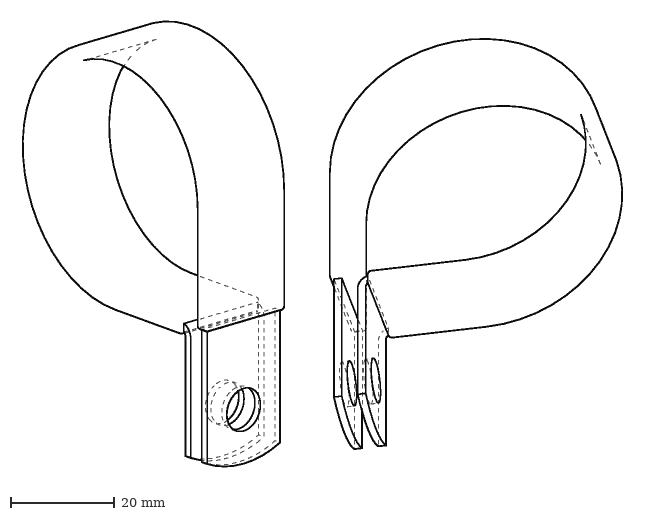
import cadquery as cq
import math

strap_thickness = 1.57
strap_width = 19.05

cushion_wall = 0.79375
loop_inner_radius = 23.8125
cushion_thickness = strap_thickness + 2 * cushion_wall
cushion_width = strap_width + 2 * cushion_wall
loop_outer_radius = loop_inner_radius + cushion_thickness
edge_fillet = cushion_wall

strap_inner_radius = loop_inner_radius + cushion_wall
strap_outer_radius = strap_inner_radius + strap_thickness

tab_gap = 3.175
tab_bottom_z = -53.99
tab_end_radius = 22.225
hole_diameter = 8.73125
hole_edge_distance = 11.1125
hole_z = tab_bottom_z + hole_edge_distance

bend_inner_radius = 1.190625
bend_outer_radius = bend_inner_radius + strap_thickness
inner_tab_outer_x = strap_inner_radius - tab_gap
inner_tab_inner_x = inner_tab_outer_x - strap_thickness
bend_center_x = inner_tab_outer_x - bend_outer_radius
bend_center_z = -strap_inner_radius - bend_outer_radius

cushion_run_end_x = bend_center_x + cushion_wall
cushion_leg_end_z = -strap_inner_radius


def make_cushion():
    """Three-quarter loop with a straight lower run and a straight vertical leg."""
    outer_arc_mid = loop_outer_radius * math.sqrt(0.5)
    inner_arc_mid = loop_inner_radius * math.sqrt(0.5)
    outline = (
        cq.Workplane("XZ")
        .moveTo(cushion_run_end_x, -loop_outer_radius)
        .lineTo(0, -loop_outer_radius)
        .threePointArc((-outer_arc_mid, outer_arc_mid), (loop_outer_radius, 0))
        .lineTo(loop_outer_radius, cushion_leg_end_z)
        .lineTo(loop_inner_radius, cushion_leg_end_z)
        .lineTo(loop_inner_radius, 0)
        .threePointArc((-inner_arc_mid, inner_arc_mid), (0, -loop_inner_radius))
        .lineTo(cushion_run_end_x, -loop_inner_radius)
        .close()
    )
    return outline.extrude(cushion_width / 2, both=True).edges().fillet(edge_fillet)


def make_inner_strap():
    """Strap that bends down out of the lower run and continues as the inner tab."""
    outer_bend_mid = bend_outer_radius * math.sqrt(0.5)
    inner_bend_mid = bend_inner_radius * math.sqrt(0.5)
    profile = (
        cq.Workplane("XZ", origin=(0, strap_width / 2, 0))
        .moveTo(bend_center_x, bend_center_z + bend_outer_radius)
        .threePointArc(
            (bend_center_x + outer_bend_mid, bend_center_z + outer_bend_mid),
            (inner_tab_outer_x, bend_center_z),
        )
        .lineTo(inner_tab_outer_x, tab_bottom_z)
        .lineTo(inner_tab_inner_x, tab_bottom_z)
        .lineTo(inner_tab_inner_x, bend_center_z)
        .threePointArc(
            (bend_center_x + inner_bend_mid, bend_center_z + inner_bend_mid),
            (bend_center_x, bend_center_z + bend_inner_radius),
        )
        .close()
    )
    return profile.extrude(strap_width)


def make_outer_strap():
    """Straight strap that continues below the vertical leg as the outer tab."""
    profile = (
        cq.Workplane("XZ", origin=(0, strap_width / 2, 0))
        .moveTo(strap_inner_radius, cushion_leg_end_z)
        .lineTo(strap_outer_radius, cushion_leg_end_z)
        .lineTo(strap_outer_radius, tab_bottom_z)
        .lineTo(strap_inner_radius, tab_bottom_z)
        .close()
    )
    return profile.extrude(strap_width)


def make_tab_envelope():
    """Prism along X with the curved lower end and bolt hole shared by both tabs."""
    half_width = strap_width / 2
    end_center_z = tab_bottom_z + tab_end_radius
    corner_z = end_center_z - math.sqrt(tab_end_radius**2 - half_width**2)
    return (
        cq.Workplane("YZ")
        .moveTo(-half_width, 0)
        .lineTo(-half_width, corner_z)
        .threePointArc((0, tab_bottom_z), (half_width, corner_z))
        .lineTo(half_width, 0)
        .close()
        .moveTo(0, hole_z)
        .circle(hole_diameter / 2)
        .extrude(loop_outer_radius)
    )


tab_envelope = make_tab_envelope()
inner_tab = make_inner_strap().intersect(tab_envelope)
outer_tab = make_outer_strap().intersect(tab_envelope)

result = make_cushion().union(inner_tab).union(outer_tab)